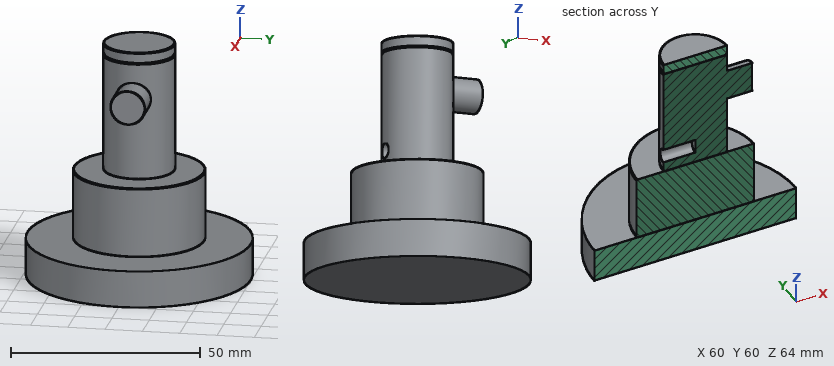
import cadquery as cq

total_height = 64.0
edge_chamfer = 0.25

flange_diameter = 60.0
flange_height = 10.0

collar_diameter = 35.0
collar_height = 19.0

cap_diameter = 19.0
cap_height = 3.0

post_diameter = cap_diameter
collar_top = flange_height + collar_height
cap_bottom = total_height - cap_height
post_height = cap_bottom - collar_top

peg_diameter = 9.3
peg_reach = 17.0
peg_chamfer = 0.1
peg_center_z = 51.0

cross_hole_diameter = 4.0
cross_hole_center_z = collar_top + 5.0


def disc(diameter, height, bottom_z):
    """Upright cylinder centred on the Z axis."""
    return cq.Workplane("XY").workplane(offset=bottom_z).circle(diameter / 2).extrude(height)


def chamfered_disc(diameter, height, bottom_z):
    """Upright cylinder with both rims chamfered."""
    return disc(diameter, height, bottom_z).edges("%CIRCLE").chamfer(edge_chamfer)


def radial_cylinder(diameter, center_z, end_x):
    """Horizontal cylinder from the Z axis to end_x."""
    return cq.Workplane("YZ").center(0, center_z).circle(diameter / 2).extrude(end_x)


def make_post():
    """Post with its side peg and the cross hole."""
    peg = radial_cylinder(peg_diameter, peg_center_z, peg_reach).faces(">X").chamfer(peg_chamfer)
    cross_hole = radial_cylinder(cross_hole_diameter, cross_hole_center_z, -post_diameter)
    return chamfered_disc(post_diameter, post_height, collar_top).union(peg).cut(cross_hole)


flange = disc(flange_diameter, flange_height, 0)
collar = chamfered_disc(collar_diameter, collar_height, flange_height)
post = make_post()
cap = chamfered_disc(cap_diameter, cap_height, cap_bottom)

result = cq.Compound.makeCompound([flange.val(), collar.val(), post.val(), cap.val()])